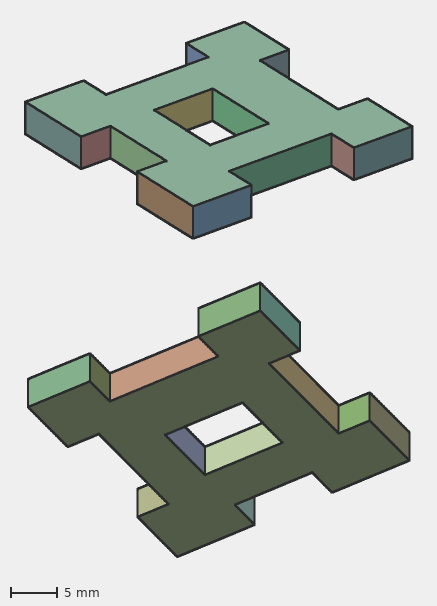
import cadquery as cq

side = 30.0
thickness = 4.0

notch_depth = 4.0
wide_notch = 14.0
narrow_notch = 10.0

window_width = narrow_notch
window_height = 8.0

rim_width = 8.0
window_center_y = side / 2 - notch_depth - rim_width - window_height / 2


def through_block(width, height, center_x, center_y):
    """Block spanning the plate thickness, used to cut a rectangular opening."""
    return cq.Workplane("XY").center(center_x, center_y).rect(width, height).extrude(thickness)


def notch_edges(plate):
    """Cut one notch into the middle of each edge."""
    offset = (side - notch_depth) / 2
    plate = plate.cut(through_block(wide_notch, notch_depth, 0, offset))
    plate = plate.cut(through_block(narrow_notch, notch_depth, 0, -offset))
    for direction in (-1, 1):
        plate = plate.cut(through_block(notch_depth, wide_notch, direction * offset, 0))
    return plate


def cut_window(plate):
    """Cut the rectangular window through the plate."""
    return plate.cut(through_block(window_width, window_height, 0, window_center_y))


plate = cq.Workplane("XY").rect(side, side).extrude(thickness)
result = cut_window(notch_edges(plate))